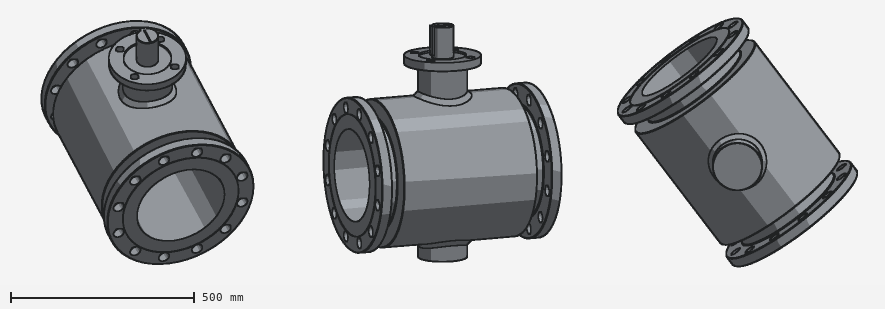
import cadquery as cq
import math

body_diameter = 407.0
body_length = 392.0
pipe_diameter = 310.0
bore_diameter = 253.0
pipe_weld = 2.5
body_edge = 2.0

overall_length = 533.0
flange_diameter = 425.0
flange_thickness = 30.0
flange_edge = 2.0
raised_face_diameter = 335.0
raised_face_height = 2.0
flange_bolt_count = 12
flange_bolt_diameter = 30.0
flange_bolt_circle = 370.0

overall_height = 644.5
shaft_top = 396.5
shaft_diameter = 60.0
shaft_length = 82.5
shaft_edge = 1.0
neck_diameter = 135.0
neck_bottom = shaft_top - overall_height
neck_weld = 12.0
neck_edge = 1.0
plate_diameter = 210.0
plate_thickness = 24.5
plate_edge = 1.0
plate_top = shaft_top - shaft_length
plate_bottom = plate_top - plate_thickness
plate_recess_diameter = 130.0
plate_recess_depth = 5.0
plate_bolt_count = 4
plate_bolt_diameter = 22.0
plate_bolt_circle = 165.0

key_width = 19.5
key_reach = 33.5
key_clearance = 2.0
mark_width = 2.5
mark_depth = 2.0
mark_start = -24.0

body_end = body_length / 2
body_radius = body_diameter / 2
face_end = overall_length / 2
flange_outer = face_end - raised_face_height
flange_inner = flange_outer - flange_thickness


def disc_x(diameter, start, end):
    """Cylinder along X between two positions."""
    return cq.Workplane("YZ", origin=(start, 0, 0)).circle(diameter / 2).extrude(end - start)


def disc_z(diameter, start, end):
    """Cylinder along Z between two heights."""
    return cq.Workplane("XY", origin=(0, 0, start)).circle(diameter / 2).extrude(end - start)


def make_body():
    """Body crossed by the neck, with a sloping weld around each crossing."""
    body = disc_x(body_diameter, -body_end, body_end).edges().chamfer(body_edge)
    neck = disc_z(neck_diameter, neck_bottom, plate_bottom).edges("<Z").chamfer(neck_edge)
    body = body.union(neck)
    reach = neck_diameter / 2 + neck_weld
    joint_bottom = math.sqrt(body_radius**2 - reach**2)
    joint_top = body_radius + neck_weld
    upper_joint = cq.selectors.BoxSelector(
        (-reach, -reach, joint_bottom), (reach, reach, joint_top)
    )
    lower_joint = cq.selectors.BoxSelector(
        (-reach, -reach, -joint_top), (reach, reach, -joint_bottom)
    )
    return body.edges(upper_joint + lower_joint).chamfer(neck_weld)


def make_end():
    """Pipe stub, drilled flange and raised face at the +X end."""
    pipe_radius = pipe_diameter / 2
    stub = (
        cq.Workplane("XY")
        .moveTo(body_end, 0)
        .lineTo(body_end, pipe_radius + pipe_weld)
        .lineTo(body_end + pipe_weld, pipe_radius)
        .lineTo(flange_inner - pipe_weld, pipe_radius)
        .lineTo(flange_inner, pipe_radius + pipe_weld)
        .lineTo(flange_inner, 0)
        .close()
        .revolve(360, (0, 0, 0), (1, 0, 0))
    )
    flange = disc_x(flange_diameter, flange_inner, flange_outer).edges().chamfer(flange_edge)
    half_pitch = 180 / flange_bolt_count
    bolt_holes = (
        cq.Workplane("YZ", origin=(flange_inner, 0, 0))
        .polarArray(flange_bolt_circle / 2, half_pitch, 360, flange_bolt_count)
        .circle(flange_bolt_diameter / 2)
        .extrude(flange_thickness)
    )
    raised_face = disc_x(raised_face_diameter, flange_outer, face_end)
    return stub.union(flange.cut(bolt_holes)).union(raised_face)


def make_plate():
    """Round mounting plate with a shallow recess and four bolt holes."""
    plate = disc_z(plate_diameter, plate_bottom, plate_top).edges("<Z").chamfer(plate_edge)
    recess_floor = plate_top - plate_recess_depth
    bolt_holes = (
        cq.Workplane("XY", origin=(0, 0, plate_bottom))
        .polarArray(plate_bolt_circle / 2, 180 / plate_bolt_count, 360, plate_bolt_count)
        .circle(plate_bolt_diameter / 2)
        .extrude(plate_thickness)
    )
    return plate.cut(disc_z(plate_recess_diameter, recess_floor, plate_top)).cut(bolt_holes)


def make_shaft():
    """Drive shaft with a key on its -X side and a position mark across its top."""
    shaft_bottom = plate_top - plate_recess_depth
    shaft = disc_z(shaft_diameter, shaft_bottom, shaft_top).edges(">Z").chamfer(shaft_edge)
    key_bottom = plate_top + key_clearance
    key = cq.Workplane("XY").box(
        key_reach, key_width, shaft_top - key_bottom, centered=(False, True, False)
    ).translate((-key_reach, 0, key_bottom))
    mark = cq.Workplane("XY").box(
        shaft_diameter / 2 - mark_start, mark_width, mark_depth, centered=(False, True, False)
    ).translate((mark_start, 0, shaft_top - mark_depth))
    return shaft.union(key).cut(mark)


valve_end = make_end()
bore = disc_x(bore_diameter, -face_end, face_end)
result = (
    make_body()
    .union(valve_end)
    .union(valve_end.mirror("YZ"))
    .union(make_plate())
    .union(make_shaft())
    .cut(bore)
)